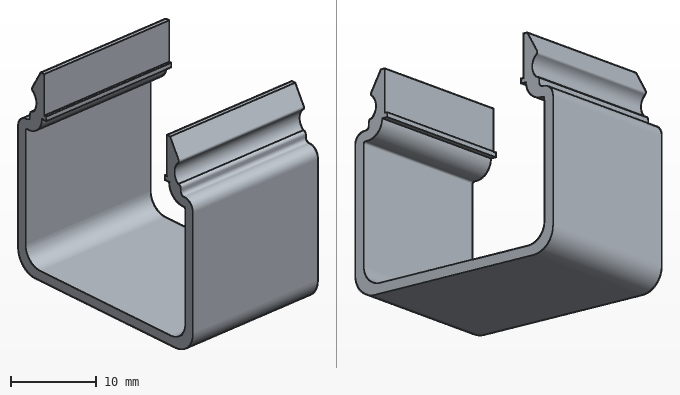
import cadquery as cq
import math

width = 30.0
length = 20.0
height = 27.5
wall = 1.32

outer_bottom_radius = 3.0
inner_bottom_radius = 2.5
shoulder_radius = 1.47
inner_shoulder_radius = 0.27

shoulder_z = 20.45
step_inset = 2.07
step_fillet = 0.5
step_top_z = 21.35
step_crown_inset = 2.2
step_crown_z = 21.65

groove_z = 23.15
groove_half_height = 1.38
groove_edge_inset = 2.52
groove_floor_inset = 3.15

tooth_inset = 2.43
tooth_nose_inset = 2.4
tooth_nose_z = 24.78
tooth_slope_z = 24.95
lead_in_angle = 60.0
lip_inset = 4.5

ledge_inset = 4.85
ledge_top_z = 22.05
ledge_bottom_z = 21.45
bend_radius = 2.3
bend_inset = 4.1

half_width = width / 2
inner_shoulder_z = ledge_bottom_z - bend_radius
groove_top_z = groove_z + groove_half_height
groove_bottom_z = groove_z - groove_half_height
tip_inset = tooth_inset + (height - tooth_slope_z) / math.tan(math.radians(lead_in_angle))


def corner_arc(sketch, start, end, center):
    """Draw the short circular arc between two points about a center."""
    radius = math.dist(start, center)
    chord_x = (start[0] + end[0]) / 2 - center[0]
    chord_z = (start[1] + end[1]) / 2 - center[1]
    stretch = radius / math.hypot(chord_x, chord_z)
    middle = (center[0] + chord_x * stretch, center[1] + chord_z * stretch)
    return sketch.lineTo(*start).threePointArc(middle, end)


def draw_outside(sketch):
    """Outer face, from the bottom center up to the tip of the lip."""
    radius = outer_bottom_radius
    sketch = corner_arc(sketch, (radius, 0), (0, radius), (radius, radius))

    arc_z = shoulder_z - shoulder_radius
    sketch = corner_arc(sketch, (0, arc_z), (shoulder_radius, shoulder_z), (shoulder_radius, arc_z))

    fillet_x = step_inset - step_fillet
    fillet_z = shoulder_z + step_fillet
    sketch = corner_arc(sketch, (fillet_x, shoulder_z), (step_inset, fillet_z), (fillet_x, fillet_z))

    sketch = sketch.lineTo(step_inset, step_top_z)
    sketch = sketch.threePointArc((step_crown_inset, step_crown_z), (groove_edge_inset, groove_bottom_z))
    sketch = sketch.threePointArc((groove_floor_inset, groove_z), (groove_edge_inset, groove_top_z))
    sketch = sketch.threePointArc((tooth_nose_inset, tooth_nose_z), (tooth_inset, tooth_slope_z))
    return sketch.lineTo(tip_inset, height)


def draw_inside(sketch):
    """Inner face, from the tip of the lip down to the bottom center."""
    sketch = sketch.lineTo(lip_inset, height).lineTo(lip_inset, ledge_top_z)
    sketch = sketch.lineTo(ledge_inset, ledge_top_z).lineTo(ledge_inset, ledge_bottom_z)

    bend_x = bend_inset - bend_radius
    sketch = corner_arc(
        sketch, (bend_inset, ledge_bottom_z), (bend_x, inner_shoulder_z), (bend_x, ledge_bottom_z)
    )

    arc_x = wall + inner_shoulder_radius
    arc_z = inner_shoulder_z - inner_shoulder_radius
    sketch = corner_arc(sketch, (arc_x, inner_shoulder_z), (wall, arc_z), (arc_x, arc_z))

    inner = wall + inner_bottom_radius
    sketch = corner_arc(sketch, (wall, inner), (inner, wall), (inner, inner))
    return sketch.lineTo(half_width, wall)


profile_plane = cq.Workplane("XZ", origin=(-half_width, length / 2, 0))
profile = draw_inside(draw_outside(profile_plane.moveTo(half_width, 0))).close()
left_half = profile.extrude(length)
result = left_half.union(left_half.mirror("YZ")).clean()